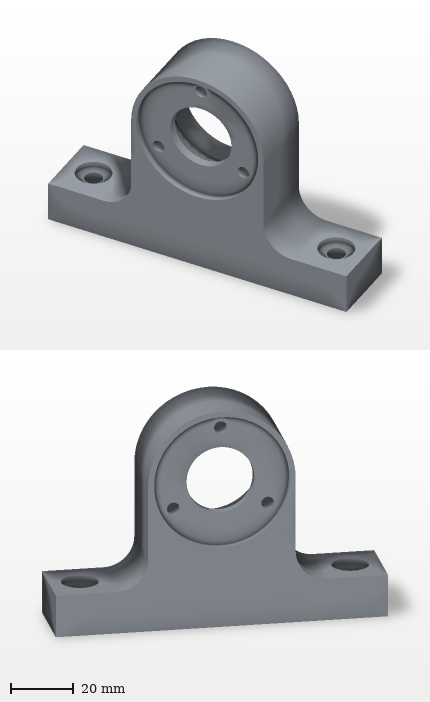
import cadquery as cq
import math

length = 108.1
depth = 24.0
base_height = 14.0
front_y = -depth / 2

upright_radius = 24.0
bore_height = 49.1
root_radius = 10.0

bore_diameter = 22.0
front_recess_diameter = 44.1
front_recess_depth = 2.5
bearing_diameter = 35.1
lip_length = 3.0
taper_length = 10.3
lip_end_y = front_y + front_recess_depth + lip_length

screw_diameter = 4.1
screw_circle_radius = 17.7
screw_count = 3
screw_hole_depth = 5.0

mount_spacing = 88.0
mount_diameter = 6.0
mount_head_diameter = 12.1
mount_head_depth = 2.0


def make_body():
    """Base and round-topped upright, joined by concave root fillets."""
    shoulder_x = upright_radius + root_radius
    shoulder_z = base_height + root_radius
    arc_inset = root_radius * (1 - math.sqrt(0.5))
    root_mid_x = upright_radius + arc_inset
    root_mid_z = base_height + arc_inset
    return (
        cq.Workplane("XZ", origin=(0, depth / 2, 0))
        .moveTo(-length / 2, 0)
        .lineTo(length / 2, 0)
        .lineTo(length / 2, base_height)
        .lineTo(shoulder_x, base_height)
        .threePointArc((root_mid_x, root_mid_z), (upright_radius, shoulder_z))
        .lineTo(upright_radius, bore_height)
        .threePointArc((0, bore_height + upright_radius), (-upright_radius, bore_height))
        .lineTo(-upright_radius, shoulder_z)
        .threePointArc((-root_mid_x, root_mid_z), (-shoulder_x, base_height))
        .lineTo(-length / 2, base_height)
        .close()
        .extrude(depth)
    )


def bore_cylinder(diameter, start_y, cut_length, x=0.0, z=bore_height):
    """Cylinder running toward +Y from start_y."""
    return (
        cq.Workplane("XZ", origin=(x, start_y, z))
        .circle(diameter / 2)
        .extrude(-cut_length)
    )


def cut_bore(body):
    """Through bore with a shallow front recess, widening through a taper to the rear bearing seat."""
    body = body.cut(bore_cylinder(bore_diameter, front_y, depth))
    body = body.cut(bore_cylinder(front_recess_diameter, front_y, front_recess_depth))
    rear_cavity = (
        cq.Workplane("XY", origin=(0, 0, bore_height))
        .moveTo(0, lip_end_y)
        .lineTo(bore_diameter / 2, lip_end_y)
        .lineTo(bearing_diameter / 2, lip_end_y + taper_length)
        .lineTo(bearing_diameter / 2, depth / 2)
        .lineTo(0, depth / 2)
        .close()
        .revolve(360, (0, 0, 0), (0, 1, 0))
    )
    return body.cut(rear_cavity)


def cut_screw_holes(body):
    """Equally spaced holes, the first one straight above the bore."""
    for index in range(screw_count):
        angle = math.pi / 2 + index * 2 * math.pi / screw_count
        x = screw_circle_radius * math.cos(angle)
        z = bore_height + screw_circle_radius * math.sin(angle)
        hole = bore_cylinder(screw_diameter, front_y + front_recess_depth, screw_hole_depth, x, z)
        body = body.cut(hole)
    return body


def cut_mount_holes(body):
    """Vertical counterbored through holes, one in each foot."""
    foot_top = cq.Workplane("XY", origin=(0, 0, base_height))
    centers = [(-mount_spacing / 2, 0), (mount_spacing / 2, 0)]
    shanks = foot_top.pushPoints(centers).circle(mount_diameter / 2).extrude(-base_height)
    heads = foot_top.pushPoints(centers).circle(mount_head_diameter / 2).extrude(-mount_head_depth)
    return body.cut(shanks).cut(heads)


result = cut_mount_holes(cut_screw_holes(cut_bore(make_body())))